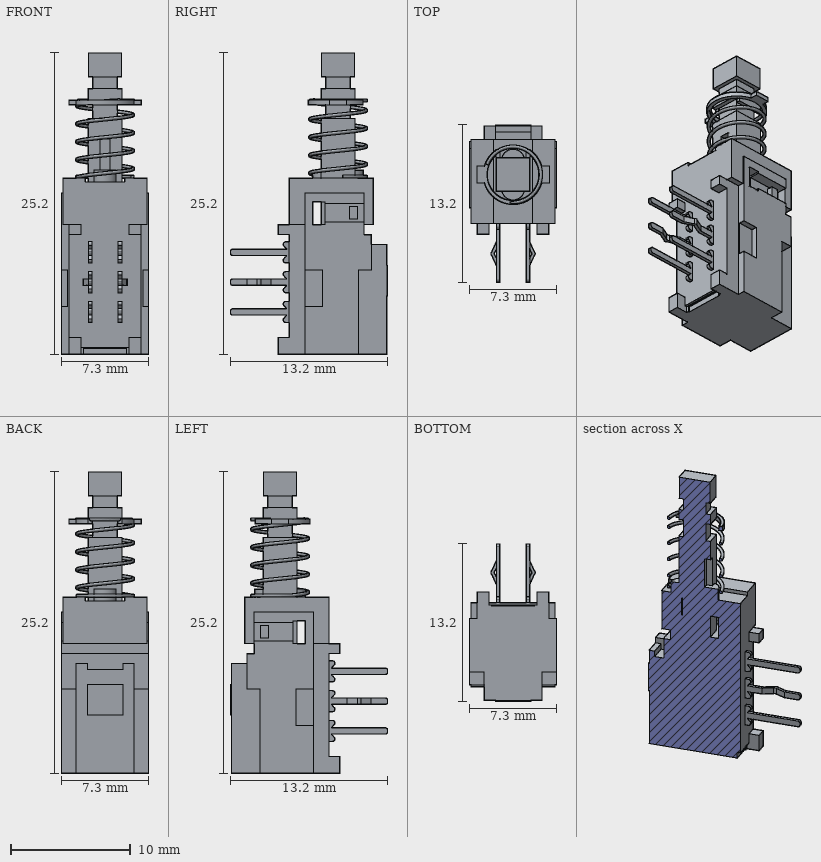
import cadquery as cq
import math



def block(x, y, z):
    """Box given by its (low, high) limits along each axis."""
    size = (x[1] - x[0], y[1] - y[0], z[1] - z[0])
    return cq.Workplane("XY").box(*size, centered=False).translate((x[0], y[0], z[0]))


def across(half_width, y, z):
    """Box centred on X = 0."""
    return block((-half_width, half_width), y, z)


def both_sides(shape):
    """The shape together with its mirror image in the YZ plane."""
    return shape.union(shape.mirror("YZ"))


total_height = 25.2

housing_half_width = 3.52
housing_y = (-4.1, 2.95)
housing_z = (10.85, 14.73)
base_half_width = 3.0

cover_half_width = 3.65
cover_front_y = -2.78
cover_back_y = 2.17
cover_top_z = 13.5
cover_shoulder_y = 2.78
cover_shoulder_z = (7.06, 10.0)
cover_lower_back_y = 1.69
cover_notch_y = (cover_front_y, -1.32)
cover_notch_z = (4.02, cover_shoulder_z[0])
cover_notch_depth = 0.5

rear_box_half_width = 2.42
rear_box_back_y = 4.07
rear_box_top_z = 9.19
rear_band_half_width = 1.48
rear_notch_step_y = 3.57
rear_notch_depths = (1.0, 0.5)
rear_pad_y = 4.15
rear_pad_z = (4.9, 7.45)

channel_half_width = 1.64
channel_depth = 0.32

arm_window_y = (-1.08, cover_back_y)
arm_window_z = (11.07, 12.59)
arm_wall_x = 2.72
nub_x = 3.22
nub_y = (0.95, 1.63)
nub_z = (11.3, 12.38)
through_slot_y = (-2.1, arm_window_y[0])
through_slot_z = (housing_z[0], 12.75)

foot_x = (2.0, base_half_width)
foot_tip_y = -5.0
foot_heights = ((0.0, 1.43), (10.0, housing_z[0]))
bottom_recess_height = 0.57
bottom_recess_depth = 0.2
bottom_pocket_half_width = 1.78
bottom_pocket_height = 0.5
bottom_pocket_depth = 0.3

cap_half_width = 1.39
plunger_half_width = 1.42
neck_half_width = 1.03
cap_height = 2.0
upper_neck_height = 1.0
flange_bottom_z = 21.25
lower_neck_bottom_z = 19.72
plunger_slot_half_width = 0.42
plunger_slot_depth = 0.5
plunger_slot_top_z = 17.98
lobe_radius = 0.97
lobe_offset = 1.15
lobe_top_z = 15.4

clip_thickness = 0.4
clip_outer_radius = 2.51
clip_inner_radius = 2.15
clip_gap_half_width = 1.1
clip_end_y = 2.1
clip_tab_x = 3.03
clip_tab_half_width = 0.7
clip_leg_y = (-1.07, clip_end_y)

spring_radius = 2.33
wire_radius = 0.14
spring_pitch = 1.5
spring_bottom_z = housing_z[1] + 0.12
spring_top_z = 21.22
spring_start_angle = 10
spring_rise_angle = 200
spring_top_angle = 230
spring_points_per_turn = 24

pin_x = 1.25
pin_thickness = 0.3
pin_half_height = 0.27
pin_heights = (3.55, 6.04, 8.53)
middle_pin_z = pin_heights[1]
pin_root_y = housing_y[0]
pin_tip_y = -9.0
pin_tip_radius = 0.2
shoulder_half_height = 0.89
shoulder_notch_y = -4.3
shoulder_tip_y = -4.58
shoulder_flat_y = -4.36
shoulder_arc_drop = 0.15
kink_peak_y = -6.61
kink_half_length = 1.0
kink_flat_half_length = 0.15
kink_rise = 0.46


def case():
    """Base, upper housing and rear box."""
    base = across(base_half_width, (housing_y[0], cover_lower_back_y), (0, housing_z[1]))
    housing = across(housing_half_width, housing_y, housing_z)
    rear_box = across(rear_box_half_width, (0, rear_box_back_y), (0, rear_box_top_z))
    pad = across(rear_band_half_width, (0, rear_pad_y), rear_pad_z)
    return base.union(housing).union(rear_box).union(pad)


def cover():
    """Sheet-metal cover, slightly proud of both sides of the housing."""
    outline = [
        (cover_front_y, 0),
        (cover_front_y, cover_top_z),
        (cover_back_y, cover_top_z),
        (cover_back_y, cover_shoulder_z[1]),
        (cover_shoulder_y, cover_shoulder_z[1]),
        (cover_shoulder_y, cover_shoulder_z[0]),
        (cover_lower_back_y, cover_shoulder_z[0]),
        (cover_lower_back_y, 0),
    ]
    body = cq.Workplane("YZ").polyline(outline).close().extrude(cover_half_width, both=True)
    notch_x = (cover_half_width - cover_notch_depth, cover_half_width)
    return body.cut(both_sides(block(notch_x, cover_notch_y, cover_notch_z)))


def rear_notch():
    """Stepped notch in the top of the rear box, deeper next to the housing."""
    inner = across(
        rear_band_half_width,
        (cover_shoulder_y, rear_notch_step_y),
        (rear_box_top_z - rear_notch_depths[0], rear_box_top_z),
    )
    outer = across(
        rear_band_half_width,
        (rear_notch_step_y, rear_box_back_y),
        (rear_box_top_z - rear_notch_depths[1], rear_box_top_z),
    )
    return inner.union(outer)


def top_channel():
    """Shallow channel along Y across the top of the housing."""
    return across(channel_half_width, housing_y, (housing_z[1] - channel_depth, housing_z[1]))


def side_windows():
    """Blind arm windows, joined to a slot that runs right through along X."""
    windows = both_sides(block((arm_wall_x, cover_half_width), arm_window_y, arm_window_z))
    return windows.union(across(cover_half_width, through_slot_y, through_slot_z))


def arm_nubs():
    return both_sides(block((arm_wall_x, nub_x), nub_y, nub_z))


def bottom_recess():
    """Stepped recess in the -Y face at the bottom, between the feet."""
    front_y = housing_y[0]
    recess = across(foot_x[0], (front_y, front_y + bottom_recess_depth), (0, bottom_recess_height))
    pocket = across(
        bottom_pocket_half_width,
        (front_y, front_y + bottom_pocket_depth),
        (0, bottom_pocket_height),
    )
    return recess.union(pocket)


def feet():
    shape = cq.Workplane("XY")
    for foot_z in foot_heights:
        shape = shape.add(both_sides(block(foot_x, (foot_tip_y, housing_y[0]), foot_z)))
    return shape.combine()


def square_bar(half_width, z):
    return across(half_width, (-half_width, half_width), z)


def plunger():
    """Square stem with cap, flange, two necks, slot and guide lobes."""
    cap_bottom_z = total_height - cap_height
    flange_top_z = cap_bottom_z - upper_neck_height
    stem_bottom_z = housing_z[0]
    shape = square_bar(neck_half_width, (stem_bottom_z, total_height))
    shape = shape.union(square_bar(cap_half_width, (cap_bottom_z, total_height)))
    shape = shape.union(square_bar(plunger_half_width, (flange_bottom_z, flange_top_z)))
    shape = shape.union(square_bar(plunger_half_width, (stem_bottom_z, lower_neck_bottom_z)))
    slot = across(
        plunger_slot_half_width,
        (-plunger_half_width, plunger_slot_depth - plunger_half_width),
        (lobe_top_z, plunger_slot_top_z),
    )
    lobes = (
        cq.Workplane("XY")
        .workplane(offset=through_slot_z[1])
        .pushPoints([(0, -lobe_offset), (0, lobe_offset)])
        .circle(lobe_radius)
        .extrude(lobe_top_z - through_slot_z[1])
    )
    return shape.cut(slot).union(lobes)


def retaining_clip():
    """Open ring under the flange with outer tabs and two legs along the neck."""
    clip_z = (flange_bottom_z - clip_thickness, flange_bottom_z)
    ring = (
        cq.Workplane("XY")
        .workplane(offset=clip_z[0])
        .circle(clip_outer_radius)
        .circle(clip_inner_radius)
        .extrude(clip_thickness)
    )
    ring = ring.cut(across(clip_gap_half_width, (0, clip_outer_radius), clip_z))
    ring = ring.cut(across(clip_outer_radius, (clip_end_y, clip_outer_radius), clip_z))
    ring_middle = (clip_outer_radius + clip_inner_radius) / 2
    tab = block((ring_middle, clip_tab_x), (-clip_tab_half_width, clip_tab_half_width), clip_z)
    leg = block((clip_gap_half_width, plunger_half_width), clip_leg_y, clip_z)
    return ring.union(both_sides(tab.union(leg)))


def spring():
    """Round-wire compression spring with flat end turns."""
    rise_turns = (spring_top_z - spring_bottom_z) / spring_pitch
    end_angle = spring_rise_angle + 360 * rise_turns + spring_top_angle
    steps = round((end_angle - spring_start_angle) / 360 * spring_points_per_turn)

    points = []
    for step in range(steps + 1):
        angle = spring_start_angle + (end_angle - spring_start_angle) * step / steps
        rise = spring_pitch * (angle - spring_rise_angle) / 360
        height = min(max(spring_bottom_z + rise, spring_bottom_z), spring_top_z)
        turn = math.radians(angle)
        points.append((spring_radius * math.cos(turn), spring_radius * math.sin(turn), height))

    path = cq.Workplane("XY").spline(points)
    start = path.val().positionAt(0)
    direction = path.val().tangentAt(0)
    wire_section = cq.Workplane(cq.Plane(origin=start, normal=direction)).circle(wire_radius)
    return wire_section.sweep(path, isFrenet=True)


def shoulder_nub(side):
    """Half of the rounded pin shoulder, above (+1) or below (-1) the pin."""
    outer = side * shoulder_half_height
    inner = side * pin_half_height
    middle = (outer + inner) / 2
    return (
        cq.Workplane("YZ")
        .moveTo(pin_root_y, 0)
        .lineTo(pin_root_y, outer)
        .lineTo(shoulder_flat_y, outer)
        .threePointArc((shoulder_tip_y, outer - side * shoulder_arc_drop), (shoulder_tip_y, middle))
        .lineTo(shoulder_notch_y, inner)
        .lineTo(shoulder_notch_y, 0)
        .close()
        .extrude(pin_thickness / 2, both=True)
    )


def straight_blade():
    blade = across(pin_thickness / 2, (pin_tip_y, pin_root_y), (-pin_half_height, pin_half_height))
    return blade.edges("|X and <Y").fillet(pin_tip_radius)


def kink_edge(sketch, x, direction):
    """Append one edge of the outward kink to a blade outline in plan."""
    far = direction * kink_half_length
    near = direction * kink_flat_half_length
    peak_x = x + kink_rise
    shoulder_x = x + kink_rise * (1 - kink_flat_half_length / kink_half_length)
    return (
        sketch.lineTo(x, kink_peak_y - far)
        .lineTo(shoulder_x, kink_peak_y - near)
        .threePointArc((peak_x, kink_peak_y), (shoulder_x, kink_peak_y + near))
        .lineTo(x, kink_peak_y + far)
    )


def kinked_blade():
    """Blade bent outward (+X) halfway along, so it snaps into its board hole."""
    outer_x = pin_thickness / 2
    inner_x = -outer_x
    outline = cq.Workplane("XY").moveTo(inner_x, pin_root_y)
    outline = kink_edge(outline, inner_x, -1).lineTo(inner_x, pin_tip_y)
    outline = outline.lineTo(outer_x, pin_tip_y)
    outline = kink_edge(outline, outer_x, 1).lineTo(outer_x, pin_root_y).close()
    blade = outline.extrude(pin_half_height, both=True)
    return blade.edges("|X and <Y").fillet(pin_tip_radius)


def pins():
    shoulders = shoulder_nub(1).union(shoulder_nub(-1))
    shape = cq.Workplane("XY")
    for height in pin_heights:
        blade = kinked_blade() if height == middle_pin_z else straight_blade()
        pin = shoulders.union(blade).translate((pin_x, 0, height))
        shape = shape.add(both_sides(pin))
    return shape.combine()


result = case().union(cover())
for pocket in (rear_notch(), top_channel(), side_windows(), bottom_recess()):
    result = result.cut(pocket)
for addition in (arm_nubs(), feet(), pins(), plunger(), retaining_clip(), spring()):
    result = result.union(addition)